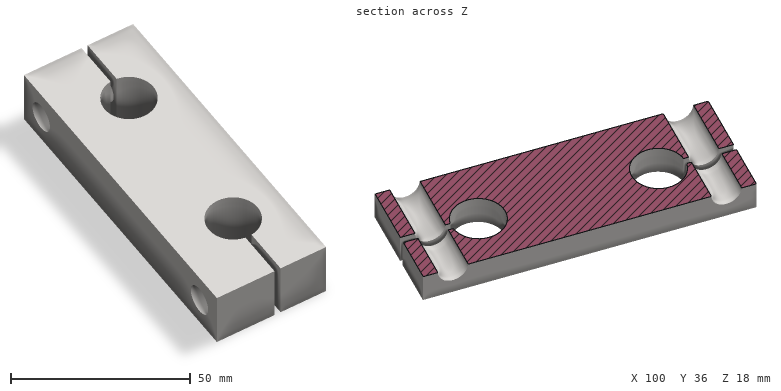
import cadquery as cq

length = 100.0
width = 36.0
height = 18.0

bore_diameter = 16.0
bore_spacing = 54.0
bore_offset_y = 2.0

slit_width = 2.0

screw_hole_diameter = 9.0
screw_hole_spacing = 82.0


def make_block():
    return cq.Workplane("XY").box(length, width, height)


def make_bore(side):
    return (
        cq.Workplane("XY")
        .center(side * bore_spacing / 2, bore_offset_y)
        .circle(bore_diameter / 2)
        .extrude(height, both=True)
    )


def make_slit(side):
    """Slit from the bore axis out through the end of the block."""
    slit_length = (length - bore_spacing) / 2
    slit_center_x = side * (length - slit_length) / 2
    return (
        cq.Workplane("XY")
        .box(slit_length, slit_width, height)
        .translate((slit_center_x, bore_offset_y, 0))
    )


def make_screw_hole(side):
    return (
        cq.Workplane("XZ")
        .center(side * screw_hole_spacing / 2, 0)
        .circle(screw_hole_diameter / 2)
        .extrude(width, both=True)
    )


result = make_block()
for side in (-1, 1):
    result = result.cut(make_bore(side))
    result = result.cut(make_slit(side))
    result = result.cut(make_screw_hole(side))